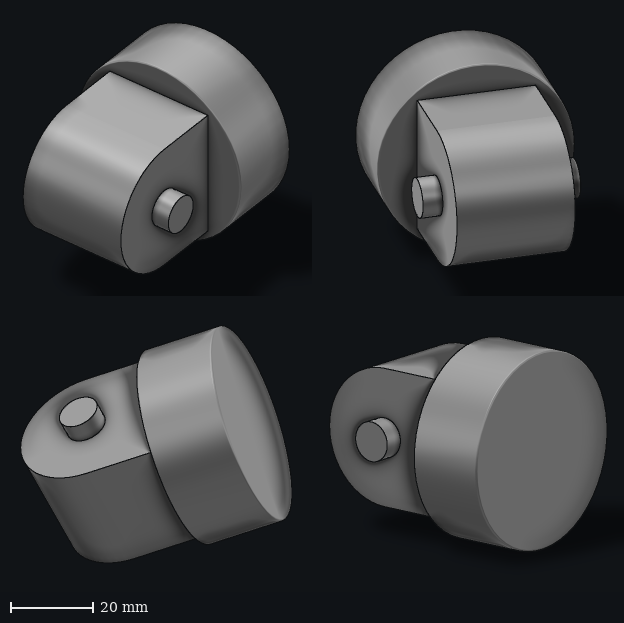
import cadquery as cq

total_length = 55.0
disc_diameter = 50.0
disc_thickness = 20.0
disc_edge_radius = 0.5
lug_width = 30.0
lug_height = 35.0
pin_diameter = 10.0
pin_length = 40.0

lug_length = total_length - disc_thickness
lug_radius = lug_height / 2
pin_axis_y = lug_radius - lug_length


def make_disc():
    """Round base with its axis along Y and both rims rounded."""
    disc = cq.Workplane("XZ").circle(disc_diameter / 2).extrude(-disc_thickness)
    return disc.edges().fillet(disc_edge_radius)


def make_lug():
    """Flat-sided lug whose free end is rounded about the pin axis."""
    return (
        cq.Workplane("YZ")
        .moveTo(0, -lug_radius)
        .lineTo(pin_axis_y, -lug_radius)
        .threePointArc((-lug_length, 0), (pin_axis_y, lug_radius))
        .lineTo(0, lug_radius)
        .close()
        .extrude(lug_width / 2, both=True)
    )


def make_pin():
    """Cross pin along X, protruding equally from both lug sides."""
    return (
        cq.Workplane("YZ")
        .center(pin_axis_y, 0)
        .circle(pin_diameter / 2)
        .extrude(pin_length / 2, both=True)
    )


result = make_disc().union(make_lug()).union(make_pin())